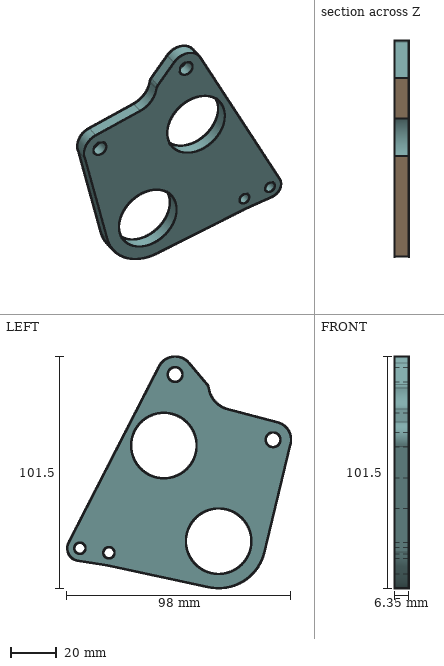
import cadquery as cq
import math

THICKNESS = 6.35

BORE_DIA = 28.575
MOUNT_HOLE_DIA = 6.35
PIN_HOLE_DIA = 4.826

BORE_WALL = 6.35
MOUNT_WALL = 4.7625
PIN_WALL = 3.175

BORE_CORNER_RADIUS = BORE_DIA / 2 + BORE_WALL
MOUNT_CORNER_RADIUS = MOUNT_HOLE_DIA / 2 + MOUNT_WALL
PIN_CORNER_RADIUS = PIN_HOLE_DIA / 2 + PIN_WALL

WIDTH = 98.04
HEIGHT = 101.51

TOP_MOUNT = (1.77, HEIGHT / 2 - MOUNT_CORNER_RADIUS)
SIDE_MOUNT = (MOUNT_CORNER_RADIUS - WIDTH / 2, 14.27)
LOWER_BORE = (-17.27, BORE_CORNER_RADIUS - HEIGHT / 2)
UPPER_BORE = (6.70, 11.75)
CORNER_PIN = (WIDTH / 2 - PIN_CORNER_RADIUS, -33.20)
INNER_PIN = (30.73, -35.18)

TOP_EDGE_NORMAL = math.radians(139.85)
SIDE_EDGE_NORMAL = math.radians(104.77)
NOTCH_RADIUS = 10.95
NOTCH_CENTER_Y = -23.85
SHOULDER_RADIUS = 3.175

SIDE_EAR_END = math.radians(202.2)


def polar_point(center, radius, angle):
    """Point at the given radius and angle around a centre."""
    return (center[0] + radius * math.cos(angle), center[1] + radius * math.sin(angle))


def tangent_normal(center_a, radius_a, center_b, radius_b):
    """Outward direction of the outer tangent line run counter-clockwise from circle a to b."""
    dy = center_b[0] - center_a[0]
    dz = center_b[1] - center_a[1]
    return math.atan2(dz, dy) - math.acos((radius_a - radius_b) / math.hypot(dy, dz))


def add_corner(outline, center, radius, start_angle, end_angle):
    """Line to the start of an arc around a centre, then the arc itself."""
    middle_angle = (start_angle + end_angle) / 2
    return outline.lineTo(*polar_point(center, radius, start_angle)).threePointArc(
        polar_point(center, radius, middle_angle),
        polar_point(center, radius, end_angle),
    )


def notch_center():
    """Centre of the notch arc, which is tangent to the edge beside the side ear."""
    offset = MOUNT_CORNER_RADIUS + NOTCH_RADIUS
    foot = polar_point(SIDE_MOUNT, offset, SIDE_EDGE_NORMAL)
    run = (NOTCH_CENTER_Y - foot[0]) / math.sin(SIDE_EDGE_NORMAL)
    return (NOTCH_CENTER_Y, foot[1] - run * math.cos(SIDE_EDGE_NORMAL))


def shoulder_center(notch):
    """Centre of the shoulder arc, tangent to both the top edge and the notch arc."""
    foot = polar_point(TOP_MOUNT, MOUNT_CORNER_RADIUS - SHOULDER_RADIUS, TOP_EDGE_NORMAL)
    along = TOP_EDGE_NORMAL + math.pi / 2
    dy = notch[0] - foot[0]
    dz = notch[1] - foot[1]
    notch_run = dy * math.cos(along) + dz * math.sin(along)
    notch_gap = dy * math.cos(TOP_EDGE_NORMAL) + dz * math.sin(TOP_EDGE_NORMAL)
    run = notch_run - math.sqrt((NOTCH_RADIUS + SHOULDER_RADIUS) ** 2 - notch_gap ** 2)
    return polar_point(foot, run, along)


def make_plate():
    """Plate outline, run counter-clockwise from the lower bore, and extruded."""
    bore = (LOWER_BORE, BORE_CORNER_RADIUS)
    inner_pin = (INNER_PIN, PIN_CORNER_RADIUS)
    corner_pin = (CORNER_PIN, PIN_CORNER_RADIUS)
    top = (TOP_MOUNT, MOUNT_CORNER_RADIUS)
    side = (SIDE_MOUNT, MOUNT_CORNER_RADIUS)

    bottom_normal = tangent_normal(*bore, *inner_pin)
    pin_normal = tangent_normal(*inner_pin, *corner_pin)
    long_normal = tangent_normal(*corner_pin, *top)
    bend_normal = (bottom_normal + pin_normal) / 2
    bend_radius = PIN_CORNER_RADIUS / math.cos((bottom_normal - pin_normal) / 2)
    side_ear_end = polar_point(*side, SIDE_EAR_END)
    side_normal = tangent_normal(side_ear_end, 0, *bore) + 2 * math.pi

    notch = notch_center()
    shoulder = shoulder_center(notch)
    shoulder_end = math.atan2(notch[1] - shoulder[1], notch[0] - shoulder[0]) % (2 * math.pi)

    outline = cq.Workplane("YZ").workplane(offset=-THICKNESS / 2)
    outline = outline.moveTo(*polar_point(*bore, bottom_normal))
    outline = outline.lineTo(*polar_point(INNER_PIN, bend_radius, bend_normal))
    outline = add_corner(outline, *corner_pin, pin_normal, long_normal)
    outline = add_corner(outline, *top, long_normal, TOP_EDGE_NORMAL)
    outline = add_corner(outline, shoulder, SHOULDER_RADIUS, TOP_EDGE_NORMAL, shoulder_end)
    outline = outline.threePointArc(
        polar_point(notch, NOTCH_RADIUS, (shoulder_end + SIDE_EDGE_NORMAL) / 2 - math.pi),
        polar_point(notch, NOTCH_RADIUS, SIDE_EDGE_NORMAL - math.pi),
    )
    outline = add_corner(outline, *side, SIDE_EDGE_NORMAL, SIDE_EAR_END)
    outline = add_corner(outline, *bore, side_normal, bottom_normal + 2 * math.pi)
    return outline.close().extrude(THICKNESS)


def cut_holes(plate, centers, diameter):
    """Cut round holes of one diameter through the plate."""
    tools = (
        cq.Workplane("YZ")
        .workplane(offset=-THICKNESS / 2)
        .pushPoints(centers)
        .circle(diameter / 2)
        .extrude(THICKNESS)
    )
    return plate.cut(tools)


result = make_plate()
result = cut_holes(result, [UPPER_BORE, LOWER_BORE], BORE_DIA)
result = cut_holes(result, [TOP_MOUNT, SIDE_MOUNT], MOUNT_HOLE_DIA)
result = cut_holes(result, [CORNER_PIN, INNER_PIN], PIN_HOLE_DIA)